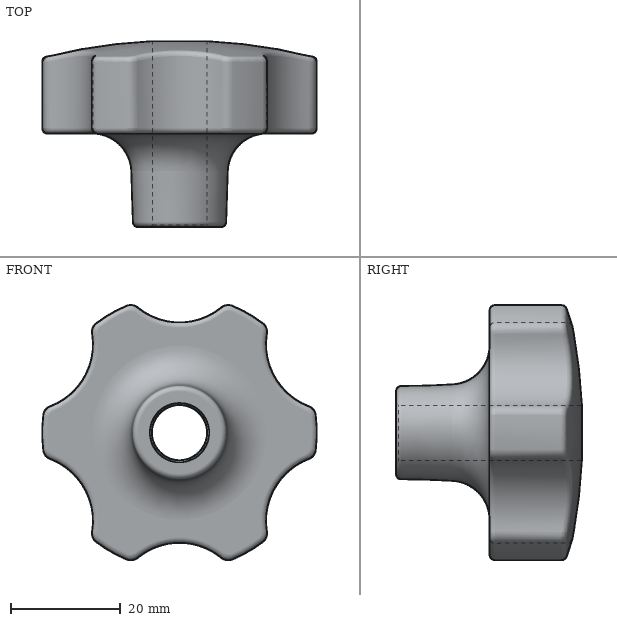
import cadquery as cq
import math

head_radius = 25.0
lobe_count = 6
scallop_radius = 12.0
scallop_centre = 32.05
lobe_corner_radius = 2.0
rim_fillet = 1.0
blank_margin = 5.0

crown_edge_height = 13.85
crown_height = 16.85

hub_length = 17.0
hub_draft = math.radians(1.8)
flare_radius = 7.0
flare_outer_radius = 15.8
hub_end_fillet = 1.0

bore_radius = 5.0
bore_chamfer = 0.4


def make_lobed_prism():
    """Scalloped cylinder with rounded lobe corners and a lobe centred on +X."""
    prism = cq.Workplane("XZ").circle(head_radius).extrude(-2 * crown_height)
    scallops = (
        cq.Workplane("XZ")
        .polarArray(scallop_centre, 0, 360, lobe_count)
        .circle(scallop_radius)
        .extrude(-2 * crown_height)
    )
    prism = prism.cut(scallops).edges("|Y").fillet(lobe_corner_radius)
    return prism.rotate((0, 0, 0), (0, 1, 0), 180 / lobe_count)


def make_domed_blank():
    """Ring with a spherical top, wider than the head, around the bore."""
    dome_centre = (
        crown_height**2 + bore_radius**2 - crown_edge_height**2 - head_radius**2
    ) / (2 * (crown_height - crown_edge_height))
    dome_radius = math.hypot(head_radius, crown_edge_height - dome_centre)

    def dome_height(radius):
        return dome_centre + math.sqrt(dome_radius**2 - radius**2)

    blank_radius = head_radius + blank_margin
    middle_radius = head_radius / 2
    return (
        cq.Workplane("XY")
        .moveTo(bore_radius, 0)
        .lineTo(blank_radius, 0)
        .lineTo(blank_radius, dome_height(blank_radius))
        .threePointArc((middle_radius, dome_height(middle_radius)), (bore_radius, crown_height))
        .close()
        .revolve(360, (0, 0, 0), (0, 1, 0))
        .rotate((0, 0, 0), (0, 1, 0), 180 / lobe_count)
    )


def make_head():
    """Lobed head with rounded rims on the flat face and on the crown."""
    head = make_lobed_prism().intersect(make_domed_blank())
    bore_zone = cq.selectors.BoxSelector(
        (-2 * bore_radius, -0.5, -2 * bore_radius),
        (2 * bore_radius, 2 * crown_height, 2 * bore_radius),
        boundingbox=True,
    )
    rims = cq.selectors.SubtractSelector(cq.selectors.StringSyntaxSelector("not(|Y)"), bore_zone)
    return head.edges(rims).fillet(rim_fillet)


def make_hub():
    """Revolve the tapered hub with a flare tangent to both hub and head."""
    flare_start_radius = flare_outer_radius - flare_radius * math.cos(hub_draft)
    flare_start_y = -flare_radius * (1 - math.sin(hub_draft))
    hub_end_radius = flare_start_radius - (hub_length + flare_start_y) * math.tan(hub_draft)
    mid_angle = math.pi / 4 - hub_draft / 2
    flare_middle = (
        flare_outer_radius - flare_radius * math.sin(mid_angle),
        -flare_radius * (1 - math.cos(mid_angle)),
    )
    hub = (
        cq.Workplane("XY")
        .moveTo(bore_radius, -hub_length + bore_chamfer)
        .lineTo(bore_radius + bore_chamfer, -hub_length)
        .lineTo(hub_end_radius, -hub_length)
        .lineTo(flare_start_radius, flare_start_y)
        .threePointArc(flare_middle, (flare_outer_radius, 0))
        .lineTo(flare_outer_radius, crown_edge_height / 2)
        .lineTo(bore_radius, crown_edge_height / 2)
        .close()
        .revolve(360, (0, 0, 0), (0, 1, 0))
    )
    return hub.faces("<Y").edges(cq.selectors.RadiusNthSelector(-1)).fillet(hub_end_fillet)


result = make_head().union(make_hub())